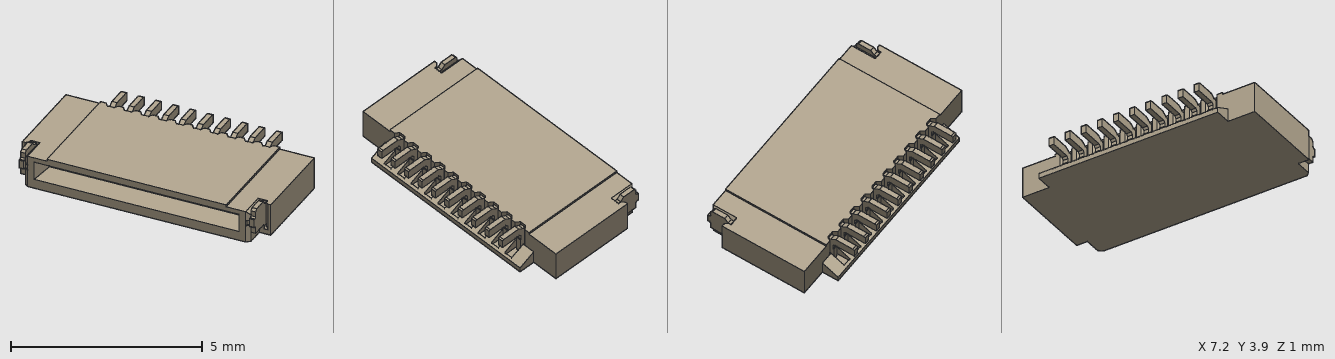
import cadquery as cq


WIDTH = 7.2
BODY_DEPTH = 3.2
WING_HEIGHT = 0.93
CROWN_HEIGHT = 0.99
CROWN_WIDTH = 5.19

MOUTH_WIDTH = 5.93
MOUTH_BOTTOM = 0.27
MOUTH_TOP = 0.8
MOUTH_DEPTH = 0.505
MOUTH_END_WIDTH = 5.54
MOUTH_END_BOTTOM = 0.43
MOUTH_END_TOP = 0.75

LEDGE_WIDTH = 5.545
LEDGE_END = 3.69
LEDGE_END_HEIGHT = 0.15
LEDGE_ROOT_HEIGHT = 0.395
SLOT_WIDTH = 0.26
SLOT_END = 3.615
SLOT_FLOOR = 0.1
NOTCH_FRONT = 3.08
NOTCH_FRONT_WIDTH = 0.195
NOTCH_BACK_WIDTH = 0.36

PIN_COUNT = 10
PIN_ROW_LENGTH = 4.5
PIN_PITCH = PIN_ROW_LENGTH / (PIN_COUNT - 1)
PIN_WIDTH = 0.15
PIN_TOP = 1.0
PIN_UNDERSIDE = 0.735
PIN_END = 3.9
PIN_TIP_LENGTH = 0.05
PIN_TIP_DROP = 0.02
PIN_BEND_START = 3.31
PIN_BEND_LENGTH = 0.16
PIN_BEND_DROP = 0.09
PIN_INNER_BEND = 0.06
PIN_STEM_BACK = 3.22
PIN_FOOT_BACK = 3.25
PIN_FOOT_TOP = 0.55

RECESS_WIDTH = 0.33
RECESS_DEPTH = 0.59
EDGE_CHAMFER_WIDTH = 0.11
EDGE_CHAMFER_DEPTH = 0.09
EDGE_CHAMFER_DROP = 0.115
RELIEF_BOTTOM = 0.5
RELIEF_TOP = 0.65

CLIP_SLOT_OUTER = 0.17
CLIP_SLOT_END = 0.75
CLIP_SLOT_FLOOR = 0.23
FLARE = 0.09

CLIP_OUTER = 0.195
CLIP_BOTTOM = 0.28
CLIP_TOP = 1.0
CLIP_FRONT = 0.09
CLIP_FRONT_BEVEL = 0.065
CLIP_SHOULDER_TOP = 0.89
CLIP_SHOULDER_START = 0.54
CLIP_NOSE_BOTTOM = 0.505
CLIP_NOSE_TOP = 0.74
CLIP_NOSE_BEVEL = 0.04

LEFT = -WIDTH / 2


def box(x_min, x_max, y_min, y_max, z_min, z_max):
    size = (x_max - x_min, y_max - y_min, z_max - z_min)
    return cq.Workplane("XY").box(*size, centered=False).translate((x_min, y_min, z_min))


def side_profile(points, x_min, x_max):
    """Extrude a (Y, Z) outline from x_min to x_max."""
    outline = cq.Workplane("YZ").polyline(points).close()
    return outline.extrude(x_max - x_min).translate((x_min, 0, 0))


def plan_profile(points, z_min, z_max):
    """Extrude an (X, Y) outline from z_min to z_max."""
    outline = cq.Workplane("XY").polyline(points).close()
    return outline.extrude(z_max - z_min).translate((0, 0, z_min))


def both_sides(solid):
    return solid.union(solid.mirror("YZ"))


def make_housing():
    wings = box(LEFT, -LEFT, 0, BODY_DEPTH, 0, WING_HEIGHT)
    crown = box(-CROWN_WIDTH / 2, CROWN_WIDTH / 2, 0, BODY_DEPTH, 0, CROWN_HEIGHT)
    ledge_outline = [
        (BODY_DEPTH, 0),
        (LEDGE_END, 0),
        (LEDGE_END, LEDGE_END_HEIGHT),
        (BODY_DEPTH, LEDGE_ROOT_HEIGHT),
    ]
    ledge = side_profile(ledge_outline, -LEDGE_WIDTH / 2, LEDGE_WIDTH / 2)
    return wings.union(crown).union(ledge)


def make_mouth():
    opening_height = MOUTH_TOP - MOUTH_BOTTOM
    end_height = MOUTH_END_TOP - MOUTH_END_BOTTOM
    opening_middle = (MOUTH_TOP + MOUTH_BOTTOM) / 2
    end_middle = (MOUTH_END_TOP + MOUTH_END_BOTTOM) / 2
    return (
        cq.Workplane("XZ")
        .center(0, opening_middle)
        .rect(MOUTH_WIDTH, opening_height)
        .workplane(offset=-MOUTH_DEPTH)
        .center(0, end_middle - opening_middle)
        .rect(MOUTH_END_WIDTH, end_height)
        .loft(ruled=True)
    )


def make_pin_cavity():
    """Slot in the ledge and the flared notch in the back wall around one pin."""
    half_slot = SLOT_WIDTH / 2
    slot = box(-half_slot, half_slot, NOTCH_FRONT, SLOT_END, SLOT_FLOOR, LEDGE_ROOT_HEIGHT)
    notch_outline = [
        (-NOTCH_FRONT_WIDTH / 2, NOTCH_FRONT),
        (NOTCH_FRONT_WIDTH / 2, NOTCH_FRONT),
        (NOTCH_BACK_WIDTH / 2, BODY_DEPTH),
        (-NOTCH_BACK_WIDTH / 2, BODY_DEPTH),
    ]
    notch = plan_profile(notch_outline, LEDGE_ROOT_HEIGHT, CROWN_HEIGHT)
    return slot.union(notch)


def make_pin():
    bend_end = PIN_BEND_START - PIN_BEND_LENGTH
    bend_bottom = PIN_TOP - PIN_BEND_DROP
    outline = [
        (PIN_END, PIN_UNDERSIDE),
        (PIN_END, PIN_TOP - PIN_TIP_DROP),
        (PIN_END - PIN_TIP_LENGTH, PIN_TOP),
        (PIN_BEND_START, PIN_TOP),
        (bend_end, bend_bottom),
        (NOTCH_FRONT, bend_bottom),
        (NOTCH_FRONT, SLOT_FLOOR),
        (PIN_FOOT_BACK, SLOT_FLOOR),
        (PIN_FOOT_BACK, PIN_FOOT_TOP),
        (PIN_STEM_BACK, PIN_FOOT_TOP),
        (PIN_STEM_BACK, PIN_UNDERSIDE - PIN_INNER_BEND),
        (PIN_STEM_BACK + PIN_INNER_BEND, PIN_UNDERSIDE),
    ]
    return side_profile(outline, -PIN_WIDTH / 2, PIN_WIDTH / 2)


def make_left_recess():
    """Open corner, bevelled wall edges and relief pocket beside the left clip."""
    wall = LEFT + RECESS_WIDTH
    bevel_edge = wall + EDGE_CHAMFER_WIDTH
    corner = box(LEFT, wall, 0, RECESS_DEPTH, 0, WING_HEIGHT)
    upright_bevel = plan_profile(
        [(wall, 0), (bevel_edge, 0), (wall, EDGE_CHAMFER_DEPTH)], 0, WING_HEIGHT
    )
    top_bevel_outline = [
        (wall, WING_HEIGHT),
        (bevel_edge, WING_HEIGHT),
        (wall, WING_HEIGHT - EDGE_CHAMFER_DROP),
    ]
    top_bevel = cq.Workplane("XZ").polyline(top_bevel_outline).close().extrude(-CLIP_SLOT_END)
    relief = box(wall, bevel_edge, 0, EDGE_CHAMFER_DEPTH, RELIEF_BOTTOM, RELIEF_TOP)
    return corner.union(upright_bevel).union(top_bevel).union(relief)


def make_left_clip_slot():
    outer = LEFT + CLIP_SLOT_OUTER
    wall = LEFT + RECESS_WIDTH
    clearance = box(outer, LEFT + CLIP_OUTER, RECESS_DEPTH, CLIP_SLOT_END, CLIP_SLOT_FLOOR, WING_HEIGHT)
    clip_space = box(LEFT + CLIP_OUTER, wall, RECESS_DEPTH, CLIP_SLOT_END, CLIP_BOTTOM, WING_HEIGHT)
    side_flare_outline = [
        (outer, RECESS_DEPTH),
        (outer - FLARE, RECESS_DEPTH),
        (outer, RECESS_DEPTH + FLARE),
    ]
    side_flare = plan_profile(side_flare_outline, CLIP_SLOT_FLOOR - FLARE, WING_HEIGHT)
    sloped_floor_outline = [
        (RECESS_DEPTH, CLIP_SLOT_FLOOR - FLARE),
        (RECESS_DEPTH, WING_HEIGHT),
        (RECESS_DEPTH + FLARE, WING_HEIGHT),
        (RECESS_DEPTH + FLARE, CLIP_SLOT_FLOOR),
    ]
    side_flare = side_flare.intersect(side_profile(sloped_floor_outline, LEFT, wall))
    floor_flare = side_profile(sloped_floor_outline, outer, LEFT + CLIP_OUTER)
    return clearance.union(clip_space).union(side_flare).union(floor_flare)


def make_left_clip():
    nose_root_y = CLIP_FRONT - CLIP_NOSE_BEVEL
    shoulder_end = CLIP_SHOULDER_START + CLIP_TOP - CLIP_SHOULDER_TOP
    outline = [
        (CLIP_SLOT_END, CLIP_BOTTOM),
        (CLIP_FRONT, CLIP_BOTTOM),
        (CLIP_FRONT, CLIP_NOSE_BOTTOM - CLIP_NOSE_BEVEL),
        (nose_root_y, CLIP_NOSE_BOTTOM),
        (0, CLIP_NOSE_BOTTOM),
        (0, CLIP_NOSE_TOP),
        (nose_root_y, CLIP_NOSE_TOP),
        (CLIP_FRONT, CLIP_NOSE_TOP + CLIP_NOSE_BEVEL),
        (CLIP_FRONT, CLIP_TOP - CLIP_FRONT_BEVEL),
        (CLIP_FRONT + CLIP_FRONT_BEVEL, CLIP_TOP),
        (CLIP_SHOULDER_START, CLIP_TOP),
        (shoulder_end, CLIP_SHOULDER_TOP),
        (CLIP_SLOT_END, CLIP_SHOULDER_TOP),
    ]
    return side_profile(outline, LEFT + CLIP_OUTER, LEFT + RECESS_WIDTH)


housing = make_housing().cut(make_mouth())
housing = housing.cut(both_sides(make_left_recess().union(make_left_clip_slot())))

pin_positions = [index * PIN_PITCH - PIN_ROW_LENGTH / 2 for index in range(PIN_COUNT)]
pin_cavity = make_pin_cavity()
pin = make_pin()
for x in pin_positions:
    housing = housing.cut(pin_cavity.translate((x, 0, 0)))
    housing = housing.union(pin.translate((x, 0, 0)))

result = housing.union(both_sides(make_left_clip()))